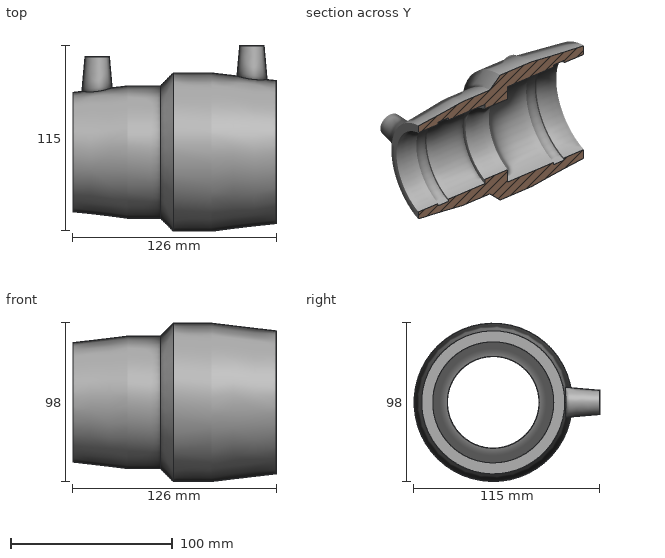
import cadquery as cq

total_length = 126.0
small_mouth_diameter = 74.0
small_body_diameter = 82.0
large_body_diameter = 98.0
large_mouth_diameter = 88.6
small_taper_end = 33.9
small_body_end = 54.3
shoulder_end = 62.2
large_taper_start = 86.2

small_socket_diameter = 63.0
passage_diameter = 56.7
large_socket_diameter = 75.0
small_socket_depth = 50.4
large_socket_depth = 58.0

groove_width = 7.8
groove_depth = 1.6

post_tip_diameter = 15.1
post_base_diameter = 19.0
post_taper_length = 22.0
small_post_x = 15.1
small_post_tip_y = 59.2
large_post_x = 110.9
large_post_tip_y = 66.0


def revolve_about_x(stations):
    """Solid of revolution through (x, diameter) stations."""
    outline = [(x, diameter / 2) for x, diameter in stations]
    start_x = stations[0][0]
    end_x = stations[-1][0]
    closed = [(start_x, 0)] + outline + [(end_x, 0)]
    return cq.Workplane("XY").polyline(closed).close().revolve(360, (0, 0), (1, 0))


def terminal_post(x, tip_y):
    """Solid post narrowing from its base, at the body, to its tip."""
    tip_radius = post_tip_diameter / 2
    base_radius = post_base_diameter / 2
    base_y = tip_y - post_taper_length
    profile = [(x, base_y), (x + base_radius, base_y), (x + tip_radius, tip_y), (x, tip_y)]
    return cq.Workplane("XY").polyline(profile).close().revolve(360, (x, 0), (x, 1))


body = revolve_about_x([
    (0, small_mouth_diameter),
    (small_taper_end, small_body_diameter),
    (small_body_end, small_body_diameter),
    (shoulder_end, large_body_diameter),
    (large_taper_start, large_body_diameter),
    (total_length, large_mouth_diameter),
])

bore = revolve_about_x([
    (0, small_socket_diameter),
    (small_socket_depth, small_socket_diameter),
    (small_socket_depth, passage_diameter),
    (total_length - large_socket_depth, passage_diameter),
    (total_length - large_socket_depth, large_socket_diameter),
    (total_length, large_socket_diameter),
])


def coil_groove(start_x, end_x, socket_diameter):
    """Disc that cuts a groove into the socket wall."""
    groove_diameter = socket_diameter + 2 * groove_depth
    return revolve_about_x([(start_x, groove_diameter), (end_x, groove_diameter)])


small_groove = coil_groove(small_post_x, small_post_x + groove_width, small_socket_diameter)
large_groove = coil_groove(large_post_x - groove_width, large_post_x, large_socket_diameter)

small_post = terminal_post(small_post_x, small_post_tip_y)
large_post = terminal_post(large_post_x, large_post_tip_y)

result = body.union(small_post).union(large_post).cut(bore).cut(small_groove).cut(large_groove)